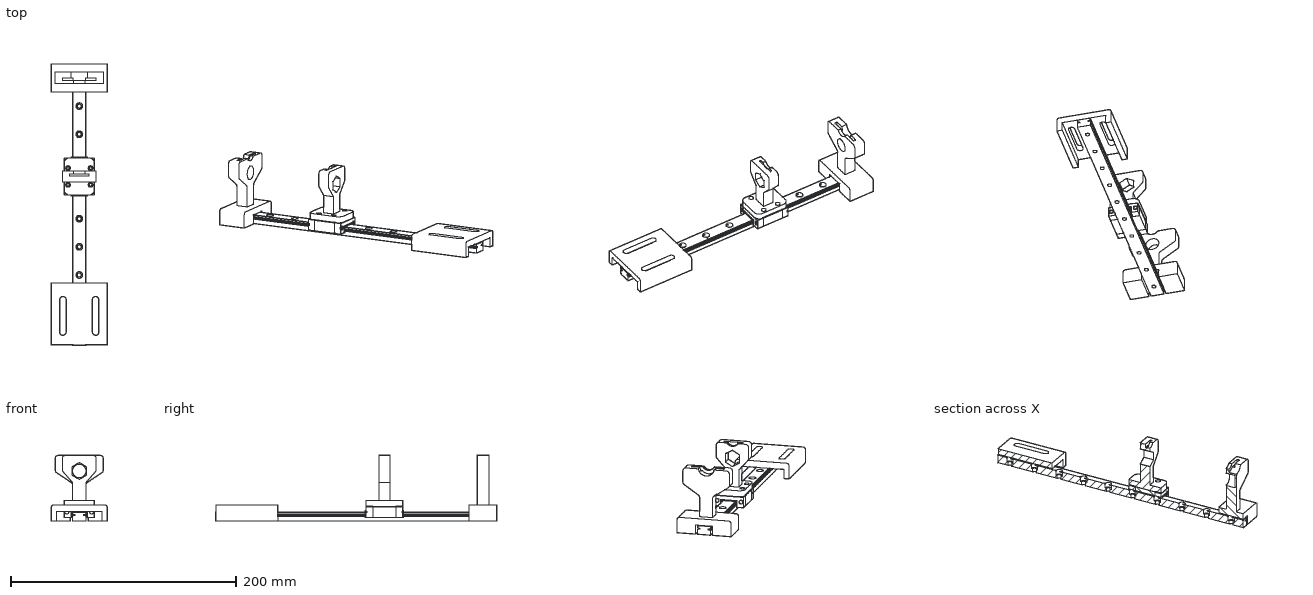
import cadquery as cq
import math

rail_length = 250.0
rail_width = 12.0
rail_height = 8.0
rail_top_chamfer = 0.3
groove_center_z = 5.3
groove_half_height = 1.15
groove_depth = 0.5
slit_height = 0.7
slit_depth = 2.2
rail_hole_pitch = 25.0
rail_hole_count = 10
rail_hole_diameter = 3.5
rail_counterbore_diameter = 6.0
rail_counterbore_depth = 4.5

carriage_y = 25.0
carriage_width = 27.0
carriage_bottom_z = 3.0
carriage_top_z = 13.0
block_length = 20.4
block_top_chamfer = 0.5
block_channel_width = 12.2
block_channel_top_z = 8.5
mount_screw_spacing_x = 20.0
mount_screw_spacing_y = 15.0
tapped_hole_diameter = 2.46
tapped_hole_depth = 3.5

cap_end_y = 16.5
cap_top_z = 12.6
cap_corner_chamfer = 0.3
cap_screw_spacing = 22.0
cap_screw_z = 8.0
cap_screw_diameter = 3.5
cap_screw_depth = 1.0
wiper_end_y = 17.15
wiper_width = 15.0
wiper_top_z = 9.2
wiper_opening_width = 14.0
wiper_opening_top_z = 8.5
wiper_tooth_tip_x = 4.0
wiper_tooth_height = 0.5

overall_height = 58.45
bore_z = overall_height - 14.0
neck_width = 12.0
head_top_radius = 3.0
slot_depth = 3.3
small_notch_half_width = 4.9
small_notch_radius = 5.6

mount_plate_length = 33.0
mount_plate_top_z = 18.45
mount_plate_corner_radius = 5.0
mount_hole_diameter = 4.09
mount_head_width = 30.0
mount_head_thickness = 10.0
mount_shoulder_z = 44.5
mount_shoulder_radius = 2.0
mount_neck_z = 34.3
mount_slot_width = 17.3
mount_slot_thickness = 1.5
mount_back_wall = 3.0
hex_across_flats = 13.0

bridge_width = 50.0
bridge_top_z = 14.45
bridge_edge_radius = 2.5
bridge_opening_top_z = 8.45

holder_length = 25.0
holder_opening_width = 15.6
holder_head_width = 43.0
holder_head_thickness = 10.6
holder_head_back_y = 118.0
holder_shoulder_z = 43.8
holder_neck_z = 33.4
holder_edge_radius = 3.0
holder_slot_width = 29.5
holder_slot_thickness = 2.3
holder_back_wall = 5.3
large_notch_half_width = 7.15
large_notch_radius = 7.25
holder_bore_diameter = 12.0
holder_bore_depth = 9.0

channel_length = 55.0
channel_front_y = -124.6
channel_wall = 5.0
adjust_slot_spacing = 29.0
adjust_slot_width = 5.5
adjust_slot_length = 34.3
adjust_slot_y = -98.8


def box(x0, x1, y0, y1, z0, z1):
    """Axis-aligned box between the given limits."""
    return cq.Workplane("XY").box(x1 - x0, y1 - y0, z1 - z0, centered=False).translate((x0, y0, z0))


def centered_box(width, y0, y1, z0, z1):
    """Box that is symmetric about the plane X = 0."""
    return box(-width / 2, width / 2, y0, y1, z0, z1)


def extrude_along_y(profile, y0, y1):
    """Extrude a closed XZ profile, drawn on the XZ plane, from y0 to y1."""
    return profile.extrude(-(y1 - y0)).translate((0, y0, 0))


def cylinder_along_y(radius, x, z, y0, y1):
    return extrude_along_y(cq.Workplane("XZ").center(x, z).circle(radius), y0, y1)


def make_rail():
    half_width = rail_width / 2
    half_length = rail_length / 2
    section = cq.Workplane("XZ").moveTo(-half_width, 0).lineTo(half_width, 0)
    section = section.lineTo(half_width, rail_height - rail_top_chamfer)
    section = section.lineTo(half_width - rail_top_chamfer, rail_height)
    section = section.lineTo(-half_width + rail_top_chamfer, rail_height)
    section = section.lineTo(-half_width, rail_height - rail_top_chamfer).close()
    rail = extrude_along_y(section, -half_length, half_length)
    for side in (-1, 1):
        groove = (
            cq.Workplane("XZ")
            .moveTo(side * half_width, groove_center_z - groove_half_height)
            .threePointArc(
                (side * (half_width - groove_depth), groove_center_z),
                (side * half_width, groove_center_z + groove_half_height),
            )
            .close()
        )
        rail = rail.cut(extrude_along_y(groove, -half_length, half_length))
        slit = cq.Workplane("XZ").center(side * (half_width - slit_depth / 2), groove_center_z)
        slit = slit.rect(slit_depth, slit_height)
        rail = rail.cut(extrude_along_y(slit, -half_length, half_length))
    return (
        rail.faces(">Z")
        .workplane(origin=(0, 0, rail_height))
        .rarray(1, rail_hole_pitch, 1, rail_hole_count)
        .cboreHole(rail_hole_diameter, rail_counterbore_diameter, rail_counterbore_depth)
    )


def make_carriage_block():
    y0 = carriage_y - block_length / 2
    y1 = carriage_y + block_length / 2
    block = centered_box(carriage_width, y0, y1, carriage_bottom_z, carriage_top_z)
    block = block.edges("|Y and >Z").chamfer(block_top_chamfer)
    block = block.cut(centered_box(block_channel_width, y0, y1, carriage_bottom_z, block_channel_top_z))
    return (
        block.faces(">Z")
        .workplane(origin=(0, carriage_y, carriage_top_z))
        .rarray(mount_screw_spacing_x, mount_screw_spacing_y, 2, 2)
        .hole(tapped_hole_diameter, tapped_hole_depth)
    )


def make_end_cap(end):
    """End cap on the +Y (end = 1) or -Y (end = -1) side, modelled about the carriage center."""
    inner_y = block_length / 2
    cap = centered_box(carriage_width, inner_y, cap_end_y, carriage_bottom_z, cap_top_z)
    cap = cap.edges("|Z and >Y").chamfer(cap_corner_chamfer)
    cap = cap.union(centered_box(wiper_width, cap_end_y, wiper_end_y, carriage_bottom_z, wiper_top_z))
    cap = cap.cut(
        centered_box(wiper_opening_width, inner_y, wiper_end_y, carriage_bottom_z, wiper_opening_top_z)
    )
    for side in (-1, 1):
        tooth_length = wiper_opening_width / 2 - wiper_tooth_tip_x
        tooth = cq.Workplane("XZ").center(side * (wiper_tooth_tip_x + tooth_length / 2), groove_center_z)
        tooth = tooth.rect(tooth_length, wiper_tooth_height)
        cap = cap.union(extrude_along_y(tooth, cap_end_y, wiper_end_y))
        screw_x = side * cap_screw_spacing / 2
        recess_y = cap_end_y - cap_screw_depth
        cap = cap.cut(cylinder_along_y(cap_screw_diameter / 2, screw_x, cap_screw_z, recess_y, cap_end_y))
    if end < 0:
        cap = cap.mirror("XZ")
    return cap.translate((0, carriage_y, 0))


def make_upright(head_width, y0, y1, base_z, neck_z, shoulder_z, shoulder_radius, neck_radius):
    """Neck that widens into a head, with rounded head corners."""
    half_neck = neck_width / 2
    half_head = head_width / 2
    outline = cq.Workplane("XZ").polyline(
        [
            (-half_neck, base_z),
            (half_neck, base_z),
            (half_neck, neck_z),
            (half_head, shoulder_z),
            (half_head, overall_height),
            (-half_head, overall_height),
            (-half_head, shoulder_z),
            (-half_neck, neck_z),
        ]
    ).close()
    upright = extrude_along_y(outline, y0, y1)
    corners = [(half_head, overall_height, head_top_radius), (half_head, shoulder_z, shoulder_radius)]
    if neck_radius > 0:
        corners.append((half_neck, neck_z, neck_radius))
    for x, z, radius in corners:
        for side in (-1, 1):
            middle = (side * x, (y0 + y1) / 2, z)
            upright = upright.edges(cq.selectors.NearestToPointSelector(middle)).fillet(radius)
    return upright


def notch(half_width, radius, y0, y1):
    """Cylinder along Y that cuts a round notch of the given half width into the head's top."""
    center_z = overall_height + math.sqrt(radius**2 - half_width**2)
    return cylinder_along_y(radius, 0, center_z, y0, y1)


def top_slot(width, y0, y1):
    return centered_box(width, y0, y1, overall_height - slot_depth, overall_height)


def make_mount():
    head_front_y = carriage_y - mount_head_thickness / 2
    head_back_y = carriage_y + mount_head_thickness / 2
    plate = centered_box(
        carriage_width,
        carriage_y - mount_plate_length / 2,
        carriage_y + mount_plate_length / 2,
        carriage_top_z,
        mount_plate_top_z,
    )
    plate = plate.edges("|Z").fillet(mount_plate_corner_radius)
    plate = (
        plate.faces(">Z")
        .workplane(origin=(0, carriage_y, mount_plate_top_z))
        .rarray(mount_screw_spacing_x, mount_screw_spacing_y, 2, 2)
        .hole(mount_hole_diameter)
    )
    upright = make_upright(
        mount_head_width,
        head_front_y,
        head_back_y,
        mount_plate_top_z,
        mount_neck_z,
        mount_shoulder_z,
        mount_shoulder_radius,
        0,
    )
    slot_back_y = head_back_y - mount_back_wall
    upright = upright.cut(notch(small_notch_half_width, small_notch_radius, slot_back_y, head_back_y))
    upright = upright.cut(top_slot(mount_slot_width, slot_back_y - mount_slot_thickness, slot_back_y))
    hexagon = cq.Workplane("XZ").center(0, bore_z)
    hexagon = hexagon.transformed(rotate=(0, 0, 90)).polygon(6, hex_across_flats / math.cos(math.pi / 6))
    upright = upright.cut(extrude_along_y(hexagon, head_front_y, head_back_y))
    return plate.union(upright)


def make_bridge(y0, y1, opening_width):
    """Block over the rail with rounded top edges and an opening along its underside."""
    bridge = centered_box(bridge_width, y0, y1, 0, bridge_top_z)
    bridge = bridge.edges("|Y and >Z").fillet(bridge_edge_radius)
    return bridge.cut(centered_box(opening_width, y0, y1, 0, bridge_opening_top_z))


def make_holder():
    back_y = rail_length / 2
    base = make_bridge(back_y - holder_length, back_y, holder_opening_width)
    head_front_y = holder_head_back_y - holder_head_thickness
    upright = make_upright(
        holder_head_width,
        head_front_y,
        holder_head_back_y,
        bridge_top_z,
        holder_neck_z,
        holder_shoulder_z,
        holder_edge_radius,
        holder_edge_radius,
    )
    slot_back_y = holder_head_back_y - holder_back_wall
    slot_front_y = slot_back_y - holder_slot_thickness
    upright = upright.cut(notch(large_notch_half_width, large_notch_radius, slot_front_y, holder_head_back_y))
    upright = upright.cut(notch(small_notch_half_width, small_notch_radius, head_front_y, slot_front_y))
    upright = upright.cut(top_slot(holder_slot_width, slot_front_y, slot_back_y))
    upright = upright.cut(
        cylinder_along_y(holder_bore_diameter / 2, 0, bore_z, head_front_y, head_front_y + holder_bore_depth)
    )
    return base.union(upright)


def make_channel():
    back_y = channel_front_y + channel_length
    channel = make_bridge(channel_front_y, back_y, bridge_width - 2 * channel_wall)
    return (
        channel.faces(">Z")
        .workplane(origin=(0, adjust_slot_y, bridge_top_z))
        .rarray(adjust_slot_spacing, 1, 2, 1)
        .slot2D(adjust_slot_length, adjust_slot_width, 90)
        .cutThruAll()
    )


rail = make_rail()
carriage_block = make_carriage_block()
end_caps = [make_end_cap(end) for end in (-1, 1)]
mount = make_mount()
holder = make_holder()
channel = make_channel()

result = cq.Compound.makeCompound(
    [
        rail.val(),
        carriage_block.val(),
        *[cap.val() for cap in end_caps],
        mount.val(),
        holder.val(),
        channel.val(),
    ]
)